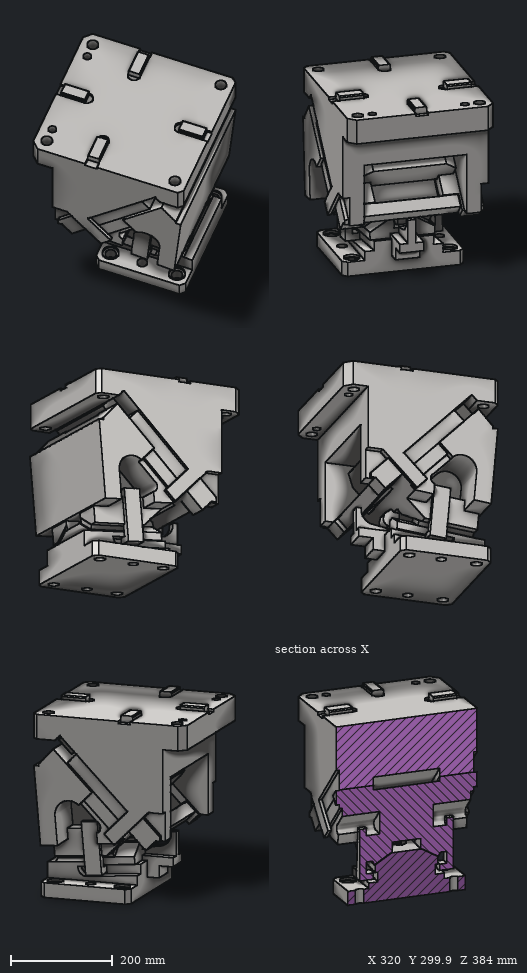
import cadquery as cq
import math


TOTAL_HEIGHT = 384.0
PLATE_LENGTH = 320.0
HALF_WIDTH = 149.95
KEY_RISE = 9.0
PLATE_TOP = TOTAL_HEIGHT - KEY_RISE
PLATE_THICKNESS = 50.0
PLATE_BOTTOM = PLATE_TOP - PLATE_THICKNESS

SLIDE_X, SLIDE_Z = 120.5, 194.3
STRAP_LOW_S = -30.0
STRAP_HIGH_S = 0.0
STRAP_LINE_SUM = SLIDE_X + SLIDE_Z + math.sqrt(2) * STRAP_LOW_S
RAIL_BOTTOM_N = 29.5
GUIDE_BOTTOM_N = 57.2
STRAP_END_N = 69.0

RAMP_ANGLE = 5.0
RAMP_X, RAMP_Z = 125.0, 68.5


def slide(s, n):
    """X, Z of a point in the slide frame."""
    half = math.sqrt(0.5)
    return (SLIDE_X + (s + n) * half, SLIDE_Z + (s - n) * half)


def ramp(p, q):
    """X, Z of a point in the ramp frame."""
    angle = math.radians(RAMP_ANGLE)
    x = RAMP_X + p * math.cos(angle) + q * math.sin(angle)
    z = RAMP_Z - p * math.sin(angle) + q * math.cos(angle)
    return (x, z)


def ramp_at_x(x, q):
    """X, Z of the point at a given X on the line of constant q."""
    angle = math.radians(RAMP_ANGLE)
    return (x, RAMP_Z + q / math.cos(angle) - (x - RAMP_X) * math.tan(angle))


PLATE_CHAMFER_LEFT = 15.0
PLATE_CHAMFER_RIGHT = 9.2
CHEEK_LEFT = 46.0
CHEEK_BOTTOM = 136.7
CHEEK_CUT_TOP = 196.0
CHEEK_CUT_Y = HALF_WIDTH - 15.0
CAVITY_HALF_WIDTH = 105.5
CAVITY_TOP = 260.7
SLOPE_END_S = 200.5
RAIL_INNER_Y = 70.0
RAIL_OUTER_Y = 143.0
RAIL_START_S = -80.3
RAIL_END_S = 152.0
BLOCK_END_S = 153.5
PAD_TOP_N = -12.5
PAD_LEFT = 55.0
BAR_START_S = -71.5
BAR_END_S = -45.0
BAR_GAP = 1.5
BAR_GAP_DEPTH = 14.5
BLOCK_TOP_N = -52.0
BLOCK_BOTTOM_N = 17.3
BLOCK_CHAMFER = 25.0
STOP_START_S = 162.0
STOP_END_S = SLOPE_END_S

BOLT_INSET = 25.0
BOLT_DIAMETER = 22.3
DOWEL_Y = HALF_WIDTH - 55.0
DOWEL_DIAMETER = 16.0

KEY_WIDTH = 25.0
KEY_LENGTH = 50.0
KEY_SLOT_DEPTH = 5.0
KEY_CHAMFER_WIDTH = 1.5
KEY_CHAMFER_HEIGHT = 3.0
KEY_ROW_X = 127.5
X_KEY_INSET = 10.8
Y_KEY_INSET = 14.5

CORE_HALF_WIDTH = 100.0
FRONT_LEG_OUTER_Y = 136.7
BODY_BOTTOM_Q = 57.5
TOP_GROOVE_N = 35.5
FLANGE_START_S = 75.5
SLIDER_TOP_S = 190.5
LEG_BACK_TOP = (316.8, 271.0)
LEG_BACK_BOTTOM_X = 303.0
SHOULDER_X = 306.5
SHOULDER_TOP_Z = 275.7
LEG_INNER_P = 137.5
ARCH_RIGHT = ramp(LEG_INNER_P, 120.0)
ARCH_TOP = (244.5, 206.0)
ARCH_LEFT = slide(FLANGE_START_S, STRAP_END_N)
POCKET_FLOOR_Y = 57.5
POCKET_BOTTOM_Q = 79.5
FRONT_LEG_END_P = 58.0
POCKET_LOW_LEFT = slide(26.5, STRAP_END_N)
POCKET_ROUND = (181.5, 153.0)
POCKET_BOTTOM_LEFT = ramp(FRONT_LEG_END_P, POCKET_BOTTOM_Q)
POCKET_BOTTOM_RIGHT = ramp(LEG_INNER_P, POCKET_BOTTOM_Q)

ROOF_SLOPE = 30.0
SKIRT_INNER_Y = 30.0
SKIRT_OUTER_Y = 90.0
SKIRT_END_P = 168.5
WEAR_PLATE_THICKNESS = 10.0
WEAR_PLATE_OUTER_Y = 67.5
WEAR_PLATE_START_P = 52.2
WEAR_PLATE_END_P = 167.5

HOOK_START_P, HOOK_END_P = 69.0, 103.0
HOOK_BOTTOM_Q, HOOK_TOP_Q = -14.0, 94.0
HOOK_INNER_Y = 85.0
HOOK_FOOT_Y = 70.0
LOBE_HALF_WIDTH = 12.3
LOBE_HOLLOW_HALF_WIDTH = 9.0
LOBE_HOLLOW_LEFT = 131.5
LOBE_HOLLOW_LOW_Z = 113.5
LOBE_HOLLOW_ROUND = (136.5, 117.0)
LOBE_HOLLOW_TOP_RIGHT = (138.2, 127.0)
LOBE_ROOT = (141.0, 129.5)
LOBE_SHOULDER = (128.5, 119.5)
LOBE_NOSE = (127.5, 113.0)
LOBE_ROUND = (128.0, 100.5)
LOBE_TOE = (136.0, 93.7)
LOBE_HEEL = (152.0, 93.7)
LOBE_THROAT_Z = 111.5
LOBE_INNER_X = 159.5

BASE_LENGTH = 189.0
BASE_LEFT = RAMP_X
BASE_RIGHT = BASE_LEFT + BASE_LENGTH
BASE_HALF_WIDTH = 124.8
BASE_THICKNESS = 30.0
BASE_CHAMFER = 9.5
STEM_HALF_WIDTH = 80.3
NECK_HALF_WIDTH = 61.0
GROOVE_FLOOR_Q = -19.5
GROOVE_ROUND_P = 113.0
GROOVE_ROUND_MIDDLE = (121.5, -13.5)
GROOVE_END_P = 125.5
LIP_START_P = 96.0
LIP_TOP_Q = 9.5
LIP_INNER_Q = 14.5
ROOF_START_P, ROOF_END_P = 10.5, 171.3
ROOF_HALF_WIDTH = 66.5
ROOF_EDGE_Q = 15.7
ROOF_FLAT_Y = SKIRT_INNER_Y
SLOT_HALF_WIDTH = 16.5
SLOT_FLOOR_Q = 19.5
SLOT_ROUND_P = 36.5
BRACKET_HALF_WIDTH = 24.5
BRACKET_LEFT = 71.0
BRACKET_STEP_X = 100.5
BRACKET_BOTTOM, BRACKET_STEP_Z, BRACKET_TOP = 34.0, 58.8, 77.0
WEB_HALF_WIDTH = 8.0
WEB_TOP = 126.0
WEB_CURVE_START = (81.5, 117.5)
WEB_CURVE_MIDDLE = (87.5, 105.2)
WEB_CURVE_END = (100.5, 95.2)
WEB_END_Z = 90.0
BASE_BOLT_X = 70.0
BASE_BOLT_Y = 100.0
BASE_BOLT_DIAMETER = 22.0
BASE_BORE_DIAMETER = 32.3
BASE_BORE_DEPTH = 5.0
BASE_DOWEL_DIAMETER = 20.0
BASE_DOWEL_SHIFT = 3.5

FAR = 768.0


def slide_box_points(s0, s1, n0, n1):
    return [slide(s0, n0), slide(s1, n0), slide(s1, n1), slide(s0, n1)]


def ramp_box_points(p0, p1, q0, q1):
    return [ramp(p0, q0), ramp(p1, q0), ramp(p1, q1), ramp(p0, q1)]


def middle(outline, half_width):
    """Extrude an X-Z outline evenly about Y = 0."""
    return outline.extrude(half_width, both=True)


def polygon(points):
    return cq.Workplane("XZ").polyline(points).close()


def both_sides(outline, y0, y1):
    """Extrude an X-Z outline from y0 to y1 and from -y1 to -y0."""
    return middle(outline, y1).cut(cq.Workplane("XY").box(FAR, 2 * y0, 2 * FAR))


def ramp_section(points, p0, p1):
    """Extrude a Y-q section along the ramp."""
    angle = math.radians(RAMP_ANGLE)
    x, z = ramp(p0, 0)
    plane = cq.Plane(
        origin=(x, 0, z),
        xDir=(0, 1, 0),
        normal=(math.cos(angle), 0, -math.sin(angle)),
    )
    return cq.Workplane(plane).polyline(points).close().extrude(p1 - p0)


def on_slope(y):
    """q of the base roof's slope at a distance y from the middle plane."""
    return ROOF_EDGE_Q + (ROOF_HALF_WIDTH - y) * math.tan(math.radians(ROOF_SLOPE))


def holder_plate():
    plate = cq.Workplane("XY").box(
        PLATE_LENGTH, 2 * HALF_WIDTH, PLATE_THICKNESS, centered=(False, True, False)
    )
    plate = plate.translate((0, 0, PLATE_BOTTOM))
    plate = plate.edges("|Z and <X").chamfer(PLATE_CHAMFER_LEFT)
    return plate.edges("|Z and >X").chamfer(PLATE_CHAMFER_RIGHT)


def slope_clearance():
    """Space under the sloped face, cut from the plate and the cheeks."""
    return middle(polygon(slide_box_points(-FAR, SLOPE_END_S, 0, FAR)), HALF_WIDTH)


def holder_cheeks():
    cheek_right = slide(SLOPE_END_S, 0)[0]
    cheeks = cq.Workplane("XY").box(
        cheek_right - CHEEK_LEFT,
        2 * HALF_WIDTH,
        PLATE_BOTTOM - CHEEK_BOTTOM,
        centered=(False, True, False),
    )
    cheeks = cheeks.translate((CHEEK_LEFT, 0, CHEEK_BOTTOM))
    cavity = cq.Workplane("XY").box(FAR, 2 * CAVITY_HALF_WIDTH, CAVITY_TOP, centered=(True, True, False))
    outer_step = both_sides(
        polygon(
            [
                (0, CHEEK_CUT_TOP),
                (0, 0),
                (STRAP_LINE_SUM, 0),
                (STRAP_LINE_SUM - CHEEK_CUT_TOP, CHEEK_CUT_TOP),
            ]
        ),
        CHEEK_CUT_Y,
        HALF_WIDTH,
    )
    return cheeks.cut(cavity).cut(outer_step)


def holder_straps():
    """Side plates that reach down past the rails and hold the slider's guides between them."""
    plates = polygon(slide_box_points(STRAP_LOW_S, STRAP_HIGH_S, 0, STRAP_END_N))
    return both_sides(plates, RAIL_OUTER_Y, HALF_WIDTH)


def holder_rails():
    outer = polygon(slide_box_points(RAIL_START_S, RAIL_END_S, 0, RAIL_BOTTOM_N))
    inner = polygon(slide_box_points(BAR_END_S, RAIL_END_S, 0, RAIL_BOTTOM_N))
    bar = polygon(slide_box_points(BAR_START_S, BAR_END_S, 0, RAIL_BOTTOM_N))
    groove = polygon(slide_box_points(BAR_END_S, BAR_END_S + BAR_GAP, 0, BAR_GAP_DEPTH))
    rails = both_sides(outer, CORE_HALF_WIDTH + BAR_GAP, RAIL_OUTER_Y)
    rails = rails.union(both_sides(inner, RAIL_INNER_Y, RAIL_OUTER_Y))
    rails = rails.cut(middle(groove, CORE_HALF_WIDTH + BAR_GAP))
    pads = polygon(
        [
            slide(STRAP_LOW_S, PAD_TOP_N),
            slide(RAIL_START_S, PAD_TOP_N),
            (PAD_LEFT, CHEEK_BOTTOM),
            slide(RAIL_START_S, 0),
            slide(STRAP_LOW_S, 0),
        ]
    )
    rails = rails.union(both_sides(pads, CHEEK_CUT_Y, RAIL_OUTER_Y))
    return rails.union(middle(bar, CORE_HALF_WIDTH))


def holder_block():
    """Chamfered block in the cavity, with a tongue between the rails."""
    block = middle(polygon(slide_box_points(0, BLOCK_END_S, BLOCK_TOP_N, 0)), CORE_HALF_WIDTH)
    block = block.edges("<(1, 0, -1)").edges("not |Y").chamfer(BLOCK_CHAMFER)
    tongue = middle(polygon(slide_box_points(0, BLOCK_END_S, 0, BLOCK_BOTTOM_N)), RAIL_INNER_Y)
    return block.union(tongue)


def holder_stop():
    stop = polygon(slide_box_points(STOP_START_S, STOP_END_S, 0, RAIL_BOTTOM_N))
    return middle(stop, CORE_HALF_WIDTH)


def plate_holes():
    bolt_points = [
        (x, side * (HALF_WIDTH - BOLT_INSET))
        for x in (BOLT_INSET, PLATE_LENGTH - BOLT_INSET)
        for side in (-1, 1)
    ]
    dowel_points = [(BOLT_INSET, side * DOWEL_Y) for side in (-1, 1)]
    floor = cq.Workplane("XY").workplane(offset=PLATE_BOTTOM)
    bolts = floor.pushPoints(bolt_points).circle(BOLT_DIAMETER / 2).extrude(PLATE_THICKNESS)
    dowels = floor.pushPoints(dowel_points).circle(DOWEL_DIAMETER / 2).extrude(PLATE_THICKNESS)
    return bolts.union(dowels)


def key_slot(inset):
    """Round-ended slot that runs from the plate edge at X = 0 toward +X."""
    straight = inset + KEY_LENGTH
    floor = cq.Workplane("XY").workplane(offset=PLATE_TOP - KEY_SLOT_DEPTH)
    slot = floor.rect(2 * straight, KEY_WIDTH).extrude(KEY_SLOT_DEPTH)
    return slot.union(floor.center(straight, 0).circle(KEY_WIDTH / 2).extrude(KEY_SLOT_DEPTH))


def key(inset):
    half = KEY_WIDTH / 2
    low = PLATE_TOP - KEY_SLOT_DEPTH
    shoulder = TOTAL_HEIGHT - KEY_CHAMFER_HEIGHT
    section = [
        (-half, low),
        (half, low),
        (half, shoulder),
        (half - KEY_CHAMFER_WIDTH, TOTAL_HEIGHT),
        (KEY_CHAMFER_WIDTH - half, TOTAL_HEIGHT),
        (-half, shoulder),
    ]
    return cq.Workplane("YZ").workplane(offset=inset).polyline(section).close().extrude(KEY_LENGTH)


def make_holder():
    holder = holder_plate().union(holder_cheeks()).cut(slope_clearance())
    holder = holder.union(holder_straps()).union(holder_rails()).union(holder_block()).union(holder_stop())
    holder = holder.cut(plate_holes())
    key_places = [
        (X_KEY_INSET, 0, (0, 0)),
        (X_KEY_INSET, 180, (PLATE_LENGTH, 0)),
        (Y_KEY_INSET, 90, (KEY_ROW_X, -HALF_WIDTH)),
        (Y_KEY_INSET, -90, (KEY_ROW_X, HALF_WIDTH)),
    ]
    for inset, turn, (x, y) in key_places:
        for shape, adds in ((key_slot(inset), False), (key(inset), True)):
            placed = shape.rotate((0, 0, 0), (0, 0, 1), turn).translate((x, y, 0))
            holder = holder.union(placed) if adds else holder.cut(placed)
    return holder


def slider_back(outline):
    """Continue an outline from the top of the sloped face down the back to the leg's foot."""
    outline = outline.lineTo(*slide(SLIDER_TOP_S, RAIL_BOTTOM_N))
    outline = outline.lineTo(SHOULDER_X, SHOULDER_TOP_Z)
    outline = outline.lineTo(SHOULDER_X, LEG_BACK_TOP[1])
    outline = outline.lineTo(*LEG_BACK_TOP)
    return outline.lineTo(*ramp_at_x(LEG_BACK_BOTTOM_X, BODY_BOTTOM_Q))


def slider_core():
    front_top = slide(STRAP_LOW_S, RAIL_BOTTOM_N)
    outline = slider_back(cq.Workplane("XZ").moveTo(*front_top))
    outline = outline.lineTo(*ramp_at_x(slider_front_x(BODY_BOTTOM_Q), BODY_BOTTOM_Q)).close()
    core = middle(outline, CORE_HALF_WIDTH)
    groove = polygon(slide_box_points(STRAP_LOW_S, SLIDER_TOP_S, 0, TOP_GROOVE_N))
    return core.cut(middle(groove, RAIL_INNER_Y))


def slider_front_x(q):
    """X where the slider's front face crosses the line of constant q."""
    angle = math.radians(RAMP_ANGLE)
    line_z = RAMP_Z + q / math.cos(angle) + RAMP_X * math.tan(angle)
    return (STRAP_LINE_SUM - line_z) / (1 - math.tan(angle))


def slider_flanges():
    """Outer side walls with an arched cut-out, one leg reaching down behind it."""
    outline = slider_back(cq.Workplane("XZ").moveTo(*slide(FLANGE_START_S, RAIL_BOTTOM_N)))
    outline = outline.lineTo(*ramp(LEG_INNER_P, BODY_BOTTOM_Q))
    outline = outline.lineTo(*ARCH_RIGHT)
    outline = outline.threePointArc(ARCH_TOP, ARCH_LEFT).close()
    flanges = both_sides(outline, CORE_HALF_WIDTH, HALF_WIDTH)
    guides = polygon(slide_box_points(STRAP_LOW_S, FLANGE_START_S, RAIL_BOTTOM_N, GUIDE_BOTTOM_N))
    return flanges.union(both_sides(guides, CORE_HALF_WIDTH, RAIL_OUTER_Y))


def slider_front_legs():
    """Walls under the guides, ending at the round corner of the pockets."""
    outline = cq.Workplane("XZ").moveTo(*slide(STRAP_LOW_S, GUIDE_BOTTOM_N))
    outline = outline.lineTo(*slide(FLANGE_START_S, GUIDE_BOTTOM_N)).lineTo(*ARCH_LEFT)
    outline = outline.lineTo(*POCKET_LOW_LEFT).threePointArc(POCKET_ROUND, POCKET_BOTTOM_LEFT)
    outline = outline.lineTo(*ramp(FRONT_LEG_END_P, BODY_BOTTOM_Q))
    outline = outline.lineTo(*ramp_at_x(slider_front_x(BODY_BOTTOM_Q), BODY_BOTTOM_Q)).close()
    return both_sides(outline, CORE_HALF_WIDTH, FRONT_LEG_OUTER_Y)


def slider_pockets():
    """Side pockets under the arches, opening downward as a shallow step."""
    outline = cq.Workplane("XZ").moveTo(*ARCH_RIGHT).threePointArc(ARCH_TOP, ARCH_LEFT)
    outline = outline.lineTo(*POCKET_LOW_LEFT).threePointArc(POCKET_ROUND, POCKET_BOTTOM_LEFT)
    outline = outline.lineTo(*POCKET_BOTTOM_RIGHT).close()
    deep = both_sides(outline, POCKET_FLOOR_Y, CORE_HALF_WIDTH)
    step = polygon(ramp_box_points(FRONT_LEG_END_P, LEG_INNER_P, BODY_BOTTOM_Q, POCKET_BOTTOM_Q))
    return deep.union(both_sides(step, SKIRT_OUTER_Y, CORE_HALF_WIDTH))


def slider_skirts():
    """Two blocks under the body that straddle the base roof, faced with wear plates."""
    tilt = math.radians(ROOF_SLOPE)
    plate_edge_y = WEAR_PLATE_OUTER_Y + WEAR_PLATE_THICKNESS * math.sin(tilt)
    plate_edge_q = on_slope(WEAR_PLATE_OUTER_Y) + WEAR_PLATE_THICKNESS * math.cos(tilt)
    plate_inner_q = on_slope(SKIRT_INNER_Y) + WEAR_PLATE_THICKNESS / math.cos(tilt)
    block = [
        (SKIRT_INNER_Y, BODY_BOTTOM_Q),
        (SKIRT_OUTER_Y, BODY_BOTTOM_Q),
        (SKIRT_OUTER_Y, plate_edge_q),
        (plate_edge_y, plate_edge_q),
        (SKIRT_INNER_Y, plate_inner_q),
    ]
    wear_plate = [
        (SKIRT_INNER_Y, plate_inner_q),
        (plate_edge_y, plate_edge_q),
        (WEAR_PLATE_OUTER_Y, on_slope(WEAR_PLATE_OUTER_Y)),
        (SKIRT_INNER_Y, on_slope(SKIRT_INNER_Y)),
    ]
    in_front = middle(polygon(slide_box_points(-FAR, STRAP_LOW_S, -FAR, FAR)), HALF_WIDTH)
    skirt = ramp_section(block, 0, SKIRT_END_P).cut(in_front)
    skirt = skirt.union(ramp_section(wear_plate, WEAR_PLATE_START_P, WEAR_PLATE_END_P))
    return skirt.union(skirt.mirror("XZ"))


def slider_hooks():
    """Side hooks that reach down and grip the grooves of the base."""
    arm = polygon(ramp_box_points(HOOK_START_P, HOOK_END_P, HOOK_BOTTOM_Q, HOOK_TOP_Q))
    foot = polygon(ramp_box_points(HOOK_START_P, HOOK_END_P, HOOK_BOTTOM_Q, 0))
    arms = both_sides(arm, HOOK_INNER_Y, CORE_HALF_WIDTH)
    return arms.union(both_sides(foot, HOOK_FOOT_Y, CORE_HALF_WIDTH))


def slider_lobe():
    """Rounded nose on the front face, dished on top, that dips into the roof slot."""
    outline = cq.Workplane("XZ").moveTo(*LOBE_ROOT).lineTo(*LOBE_SHOULDER).lineTo(*LOBE_NOSE)
    outline = outline.threePointArc(LOBE_ROUND, LOBE_TOE)
    outline = outline.lineTo(*LOBE_HEEL).lineTo(LOBE_HEEL[0], LOBE_THROAT_Z)
    outline = outline.lineTo(LOBE_INNER_X, LOBE_THROAT_Z).lineTo(LOBE_INNER_X, LOBE_ROOT[1]).close()
    hollow = cq.Workplane("XZ").moveTo(LOBE_HOLLOW_LEFT, LOBE_ROOT[1])
    hollow = hollow.lineTo(LOBE_HOLLOW_LEFT, LOBE_HOLLOW_LOW_Z)
    hollow = hollow.threePointArc(LOBE_HOLLOW_ROUND, LOBE_HOLLOW_TOP_RIGHT)
    hollow = hollow.lineTo(LOBE_HOLLOW_TOP_RIGHT[0], LOBE_ROOT[1]).close()
    return middle(outline, LOBE_HALF_WIDTH).cut(middle(hollow, LOBE_HOLLOW_HALF_WIDTH))


def make_slider():
    slider = slider_core().union(slider_flanges()).union(slider_front_legs()).cut(slider_pockets())
    return slider.union(slider_skirts()).union(slider_hooks()).union(slider_lobe())


def base_plate():
    plate = cq.Workplane("XY").box(
        BASE_LENGTH, 2 * BASE_HALF_WIDTH, BASE_THICKNESS, centered=(False, True, False)
    )
    plate = plate.translate((BASE_LEFT, 0, 0)).edges("|Z").chamfer(BASE_CHAMFER)
    centre_x = BASE_LEFT + BASE_LENGTH / 2
    bolt_points = [
        (centre_x + end * BASE_BOLT_X, side * BASE_BOLT_Y) for end in (-1, 1) for side in (-1, 1)
    ]
    dowel_points = [(centre_x - BASE_DOWEL_SHIFT, side * BASE_BOLT_Y) for side in (-1, 1)]
    bolts = cq.Workplane("XY").pushPoints(bolt_points).circle(BASE_BOLT_DIAMETER / 2)
    bores = cq.Workplane("XY").workplane(offset=BASE_THICKNESS - BASE_BORE_DEPTH)
    bores = bores.pushPoints(bolt_points).circle(BASE_BORE_DIAMETER / 2)
    dowels = cq.Workplane("XY").pushPoints(dowel_points).circle(BASE_DOWEL_DIAMETER / 2)
    plate = plate.cut(bolts.extrude(BASE_THICKNESS)).cut(bores.extrude(BASE_BORE_DEPTH))
    return plate.cut(dowels.extrude(BASE_THICKNESS))


def stem_part(left_top, q):
    """Outline from the plate up to the line of constant q, starting below left_top."""
    return polygon(
        [
            (left_top[0], BASE_THICKNESS),
            left_top,
            ramp_at_x(BASE_RIGHT, q),
            (BASE_RIGHT, BASE_THICKNESS),
        ]
    )


def base_stem():
    """Stem with a groove along each side, closed by a lip over its rear part."""
    neck = middle(stem_part(ramp_at_x(BASE_LEFT, 0), 0), NECK_HALF_WIDTH)
    foot = middle(stem_part(ramp_at_x(BASE_LEFT, GROOVE_FLOOR_Q), GROOVE_FLOOR_Q), STEM_HALF_WIDTH)
    rear = middle(stem_part(ramp(LIP_START_P, LIP_TOP_Q), LIP_TOP_Q), STEM_HALF_WIDTH)
    groove = cq.Workplane("XZ").moveTo(*ramp(0, 0)).lineTo(*ramp(0, GROOVE_FLOOR_Q))
    groove = groove.lineTo(*ramp(GROOVE_ROUND_P, GROOVE_FLOOR_Q))
    groove = groove.threePointArc(ramp(*GROOVE_ROUND_MIDDLE), ramp(GROOVE_END_P, 0)).close()
    rear = rear.cut(both_sides(groove, NECK_HALF_WIDTH, STEM_HALF_WIDTH))
    lip = ramp_section(
        [
            (-STEM_HALF_WIDTH, LIP_TOP_Q),
            (STEM_HALF_WIDTH, LIP_TOP_Q),
            (ROOF_HALF_WIDTH, LIP_INNER_Q),
            (-ROOF_HALF_WIDTH, LIP_INNER_Q),
        ],
        LIP_START_P,
        ROOF_END_P,
    )
    return neck.union(foot).union(rear).union(lip)


def base_roof():
    """Roof with two slopes and a flat ridge, slotted at its front end."""
    ridge_q = on_slope(ROOF_FLAT_Y)
    roof = ramp_section(
        [
            (-ROOF_HALF_WIDTH, 0),
            (ROOF_HALF_WIDTH, 0),
            (ROOF_HALF_WIDTH, ROOF_EDGE_Q),
            (ROOF_FLAT_Y, ridge_q),
            (-ROOF_FLAT_Y, ridge_q),
            (-ROOF_HALF_WIDTH, ROOF_EDGE_Q),
        ],
        ROOF_START_P,
        ROOF_END_P,
    )
    half = SLOT_HALF_WIDTH
    slot = ramp_section(
        [(-half, SLOT_FLOOR_Q), (half, SLOT_FLOOR_Q), (half, ridge_q), (-half, ridge_q)],
        ROOF_START_P,
        SLOT_ROUND_P,
    )
    x, z = ramp(SLOT_ROUND_P, SLOT_FLOOR_Q)
    plane = cq.Workplane("XY", origin=(x, 0, z)).transformed(rotate=(0, RAMP_ANGLE, 0))
    return roof.cut(slot).cut(plane.circle(half).extrude(FAR))


def base_bracket():
    """Stepped bracket in front of the stem, with an upright curved web on top."""
    roof_front = ramp(ROOF_START_P, 0)[0]
    step = polygon(
        [
            (BRACKET_LEFT, BRACKET_TOP),
            (BRACKET_LEFT, BRACKET_STEP_Z),
            (BRACKET_STEP_X, BRACKET_STEP_Z),
            (BRACKET_STEP_X, BRACKET_BOTTOM),
            (roof_front, BRACKET_BOTTOM),
            (roof_front, BRACKET_TOP),
        ]
    )
    web = cq.Workplane("XZ").moveTo(BRACKET_LEFT, BRACKET_TOP).lineTo(BRACKET_LEFT, WEB_TOP)
    web = web.lineTo(WEB_CURVE_START[0], WEB_TOP).lineTo(*WEB_CURVE_START)
    web = web.threePointArc(WEB_CURVE_MIDDLE, WEB_CURVE_END)
    web = web.lineTo(roof_front, WEB_END_Z).lineTo(roof_front, BRACKET_TOP).close()
    return middle(step, BRACKET_HALF_WIDTH).union(middle(web, WEB_HALF_WIDTH))


def make_base():
    return base_plate().union(base_stem()).union(base_roof()).union(base_bracket())


holder = make_holder().solids()
slider = make_slider().solids()
base = make_base().solids()

result = cq.Compound.makeCompound([holder.val(), slider.val(), base.val()])